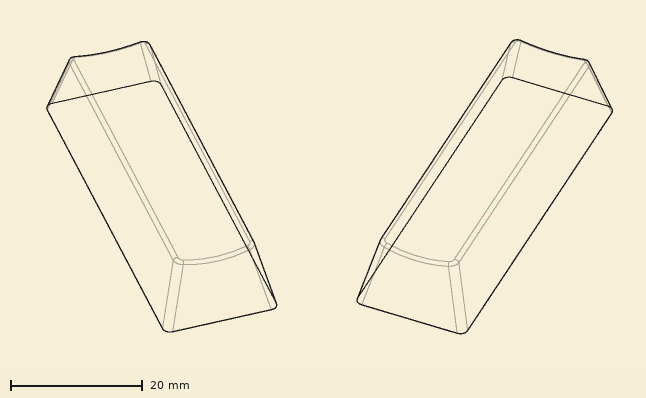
import cadquery as cq
import math

base_length = 56.4
base_width = 18.3

wall_lean = 13.8

dish_floor_height = 10.4
dish_radius = 21.0

corner_radius = 1.25
rim_radius = 0.6

half_width = base_width / 2
dish_rise = dish_radius - math.sqrt(dish_radius**2 - half_width**2)
dish_edge_height = dish_floor_height + dish_rise

trim_margin = 1.0
blank_height = dish_edge_height + trim_margin


def make_blank():
    """Tapered block with rounded slanted corners and an untrimmed flat top."""
    block = cq.Workplane("XY").rect(base_length, base_width).extrude(blank_height, taper=wall_lean)
    slanted_corners = block.edges("not(|X or |Y)")
    return slanted_corners.fillet(corner_radius)


def make_dish_cutter():
    """Slab with a rounded underside that lies on the dished top surface."""
    cutter_top = blank_height + trim_margin
    return (
        cq.Workplane("YZ")
        .moveTo(-half_width, dish_edge_height)
        .threePointArc((0, dish_floor_height), (half_width, dish_edge_height))
        .lineTo(half_width, cutter_top)
        .lineTo(-half_width, cutter_top)
        .close()
        .extrude(base_length / 2, both=True)
    )


def round_rim(body):
    """Round the closed rim where the walls meet the dish."""
    dish_face = body.faces("%CYLINDER").faces(">Z")
    return dish_face.edges().fillet(rim_radius)


keycap = make_blank().cut(make_dish_cutter())
result = round_rim(keycap)